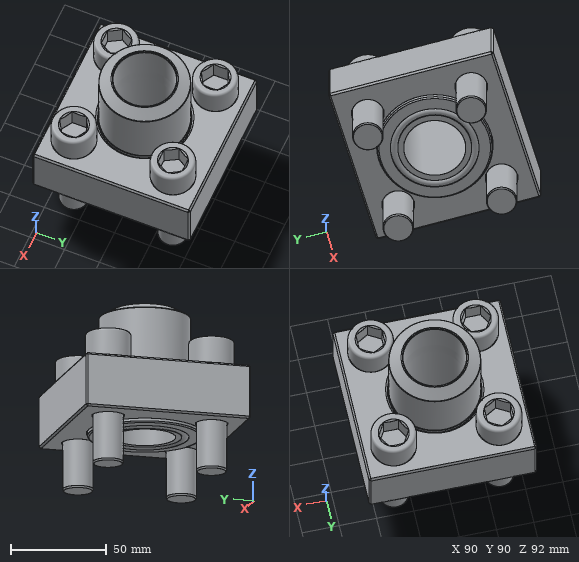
import cadquery as cq
import math


shank_diameter = 16.0
screw_length = 55.0
tip_chamfer_height = 1.0
tip_chamfer_width = 0.5
head_diameter = 24.0
head_height = 15.9
head_top_fillet = 1.6
head_base_chamfer_height = 1.2
head_base_chamfer_width = 0.6
socket_flats = 14.0
socket_corners = socket_flats / math.cos(math.radians(30))
socket_depth = 10.6
socket_lead_angle = 30

flange_side = 90.0
flange_thickness = 29.0
edge_chamfer = 1.0
screw_count = 4
screw_spacing = 56.5
screw_hole_diameter = 17.0
flange_bore_diameter = 49.5
flange_recess_diameter = 61.0
flange_recess_depth = flange_thickness / 2
flange_top = screw_length
flange_bottom = flange_top - flange_thickness

total_height = 92
pipe_diameter = 48.3
bore_top_diameter = 33.3
bore_bottom_diameter = 32.5
bore_straight_depth = 18.4
bore_taper_height = 7.4
bore_rim_chamfer = 0.4
pipe_land_diameter = 35.3
weld_bevel_angle = 30
bevel_edge_break_width = 0.2
bevel_edge_break_height = 0.4
neck_diameter = 49.0
neck_projection = 0.3
collar_diameter = 60.0
collar_projection = 2.0
collar_chamfer = 0.7
collar_bottom = flange_bottom - collar_projection
collar_top = flange_bottom + flange_recess_depth

seal_inner_diameter = 38.7
seal_outer_diameter = 46.5
seal_section = (seal_outer_diameter - seal_inner_diameter) / 2
seal_mean_radius = (seal_outer_diameter + seal_inner_diameter) / 4
seal_projection = 0.9
seal_groove_depth = seal_section - seal_projection


def make_flange():
    """Square block with all outer edges chamfered, a stepped bore and four screw holes."""
    block = (
        cq.Workplane("XY", origin=(0, 0, flange_bottom))
        .box(flange_side, flange_side, flange_thickness, centered=(True, True, False))
        .edges()
        .chamfer(edge_chamfer)
    )
    bored = block.faces(">Z").workplane().hole(flange_bore_diameter)
    bored = bored.faces(">Z").edges("%CIRCLE").chamfer(edge_chamfer)
    recess = (
        cq.Workplane("XY", origin=(0, 0, flange_bottom))
        .circle(flange_recess_diameter / 2)
        .extrude(flange_recess_depth)
    )
    screw_holes = (
        cq.Workplane("XY", origin=(0, 0, flange_bottom))
        .rect(screw_spacing, screw_spacing, forConstruction=True)
        .vertices()
        .circle(screw_hole_diameter / 2)
        .extrude(flange_thickness)
    )
    return bored.cut(recess).cut(screw_holes)


def make_pipe():
    """Revolved pipe stub: weld bevel on top, neck in the flange bore, collar with a seal groove below."""
    pipe_radius = pipe_diameter / 2
    collar_radius = collar_diameter / 2
    bore_top_radius = bore_top_diameter / 2
    bore_bottom_radius = bore_bottom_diameter / 2
    neck_radius = neck_diameter / 2
    neck_top = flange_top + neck_projection
    land_radius = pipe_land_diameter / 2
    bevel_radius = pipe_radius - bevel_edge_break_width
    bevel_height = (bevel_radius - land_radius) * math.tan(math.radians(weld_bevel_angle))
    bevel_bottom = total_height - bevel_height
    taper_top = total_height - bore_straight_depth
    body = (
        cq.Workplane("XZ")
        .moveTo(bore_bottom_radius, collar_bottom)
        .lineTo(collar_radius - collar_chamfer, collar_bottom)
        .lineTo(collar_radius, collar_bottom + collar_chamfer)
        .lineTo(collar_radius, collar_top)
        .lineTo(neck_radius, collar_top)
        .lineTo(neck_radius, neck_top)
        .lineTo(pipe_radius, neck_top)
        .lineTo(pipe_radius, bevel_bottom - bevel_edge_break_height)
        .lineTo(bevel_radius, bevel_bottom)
        .lineTo(land_radius, total_height)
        .lineTo(bore_top_radius + bore_rim_chamfer, total_height)
        .lineTo(bore_top_radius, total_height - bore_rim_chamfer)
        .lineTo(bore_top_radius, taper_top)
        .lineTo(bore_bottom_radius, taper_top - bore_taper_height)
        .close()
        .revolve(360, (0, 0, 0), (0, 1, 0))
    )
    seal_groove = (
        cq.Workplane("XY", origin=(0, 0, collar_bottom))
        .circle(seal_outer_diameter / 2)
        .circle(seal_inner_diameter / 2)
        .extrude(seal_groove_depth)
    )
    return body.cut(seal_groove)


def make_seal():
    """Round-section ring that rests on the groove floor and stands proud of the collar."""
    seal_center_z = collar_bottom + seal_groove_depth - seal_section / 2
    return (
        cq.Workplane("XZ")
        .center(seal_mean_radius, seal_center_z)
        .circle(seal_section / 2)
        .revolve(360, (-seal_mean_radius, 0, 0), (-seal_mean_radius, 1, 0))
    )


def make_screw():
    """Socket head cap screw on the Z axis, its head resting on the flange top."""
    shank_radius = shank_diameter / 2
    head_radius = head_diameter / 2
    head_top = flange_top + head_height
    fillet_offset = head_top_fillet * (1 - math.sqrt(0.5))
    body = (
        cq.Workplane("XZ")
        .lineTo(shank_radius - tip_chamfer_width, 0)
        .lineTo(shank_radius, tip_chamfer_height)
        .lineTo(shank_radius, flange_top)
        .lineTo(head_radius - head_base_chamfer_width, flange_top)
        .lineTo(head_radius, flange_top + head_base_chamfer_height)
        .lineTo(head_radius, head_top - head_top_fillet)
        .threePointArc(
            (head_radius - fillet_offset, head_top - fillet_offset),
            (head_radius - head_top_fillet, head_top),
        )
        .lineTo(0, head_top)
        .close()
        .revolve(360, (0, 0, 0), (0, 1, 0))
    )
    socket = (
        cq.Workplane("XY", origin=(0, 0, head_top))
        .polygon(6, socket_corners)
        .extrude(-socket_depth)
    )
    lead_radius = socket_corners / 2
    lead_depth = lead_radius * math.tan(math.radians(socket_lead_angle))
    lead_cone = (
        cq.Workplane("XZ")
        .moveTo(0, head_top)
        .lineTo(lead_radius, head_top)
        .lineTo(0, head_top - lead_depth)
        .close()
        .revolve(360, (0, 0, 0), (0, 1, 0))
    )
    return body.cut(socket).cut(lead_cone)


flange = make_flange()
pipe = make_pipe()
seal = make_seal()

first_screw = make_screw().translate((screw_spacing / 2, screw_spacing / 2, 0))
screws = []
for corner in range(screw_count):
    screws.append(first_screw.rotate((0, 0, 0), (0, 0, 1), corner * 360 / screw_count).val())

result = cq.Compound.makeCompound([flange.val(), pipe.val(), seal.val(), *screws])